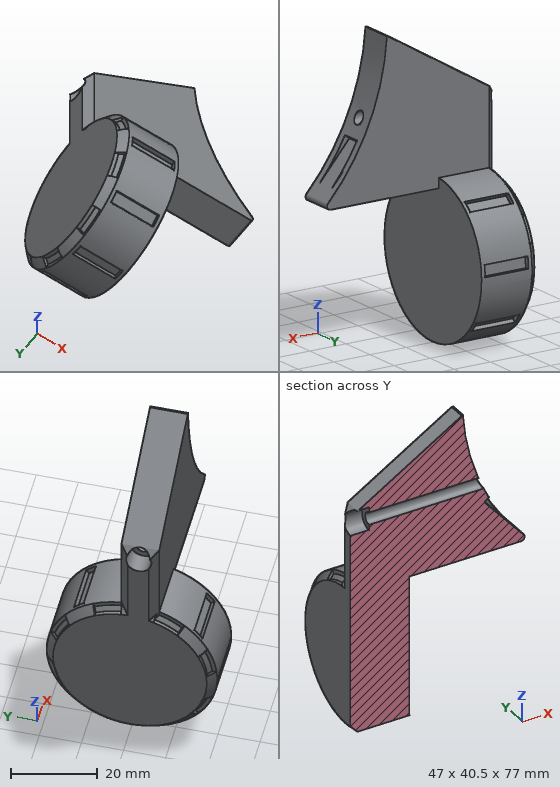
import cadquery as cq
import math

DISK_RADIUS = 20.25
DISK_THICKNESS = 16.0
CHAMFER = 2.0

RECESS_COUNT = 8
RECESS_PITCH = 360.0 / RECESS_COUNT
SLOT_LENGTH = 12.0
SLOT_WIDTH = 3.0
SLOT_DEPTH = 1.2
SLOT_PHASE = 5.5
NOTCH_SPAN = 20.4
NOTCH_DEPTH = 1.0
NOTCH_PHASE = SLOT_PHASE + RECESS_PITCH / 2

ARM_WIDTH = 9.0
ARM_CENTER_Y = -2.0
ARM_BOTTOM_Z = 17.55
ARM_SHOULDER_Z = 39.85
ARM_TOP_FLAT = 0.4
ARM_TOP_Z = 56.79
ARM_LENGTH = 47.0
ARM_TIP_FILLET = 1.0

SADDLE_RADIUS = 60.5
SADDLE_X = 90.78
SADDLE_Z = 60.7

HOLE_DIAMETER = 3.2
HEAD_DIAMETER = 6.0
HEAD_DEPTH = 5.0
HOLE_Z = 36.8

SEAT_X_MIN = 37.35
SEAT_X_MAX = 44.25
SEAT_WIDTH = 5.0
SEAT_TILT = 49.0


def saddle_z(x):
    """Height of the concave end at a given x."""
    return SADDLE_Z - math.sqrt(SADDLE_RADIUS**2 - (x - SADDLE_X) ** 2)


def saddle_x(z):
    """Position of the concave end at a given height."""
    return SADDLE_X - math.sqrt(SADDLE_RADIUS**2 - (z - SADDLE_Z) ** 2)


def turn_about_x(shape, angle):
    return shape.rotate((0, 0, 0), (1, 0, 0), angle)


def arm_plane(width):
    """XZ plane at the near side of a body of this width centred on the arm."""
    return cq.Workplane("XZ", origin=(0, ARM_CENTER_Y - width / 2, 0))


def make_disk():
    disk = cq.Workplane("YZ").circle(DISK_RADIUS).extrude(DISK_THICKNESS)
    return disk.faces("<X").chamfer(CHAMFER)


def make_arm():
    """Side outline behind the bevelled front, with a concave end and a rounded lower tip."""
    tip_x = saddle_x(ARM_BOTTOM_Z)
    top_x = saddle_x(ARM_TOP_Z)
    middle_z = (ARM_BOTTOM_Z + ARM_TOP_Z) / 2
    arm = (
        arm_plane(ARM_WIDTH)
        .moveTo(CHAMFER, ARM_BOTTOM_Z)
        .lineTo(tip_x, ARM_BOTTOM_Z)
        .threePointArc((saddle_x(middle_z), middle_z), (top_x, ARM_TOP_Z))
        .lineTo(top_x - ARM_TOP_FLAT, ARM_TOP_Z)
        .lineTo(CHAMFER, ARM_SHOULDER_Z)
        .close()
        .extrude(-ARM_WIDTH)
    )
    tip = cq.selectors.NearestToPointSelector((tip_x, ARM_CENTER_Y, ARM_BOTTOM_Z))
    return arm.edges(tip).fillet(ARM_TIP_FILLET)


def make_arm_front():
    """Front layer of the arm, bevelled at 45 degrees; its foot is buried in the housing."""
    return (
        cq.Workplane("YZ", origin=(CHAMFER, 0, 0))
        .center(ARM_CENTER_Y, ARM_SHOULDER_Z / 2)
        .rect(ARM_WIDTH, ARM_SHOULDER_Z)
        .extrude(-CHAMFER, taper=45)
    )


def make_notch():
    """Pocket in the bevel: cylindrical inner wall, bevelled floor, flat outer wall."""
    inner = DISK_RADIUS - CHAMFER
    outline = [
        (0, inner),
        (NOTCH_DEPTH, inner),
        (CHAMFER, DISK_RADIUS - NOTCH_DEPTH),
        (CHAMFER, DISK_RADIUS),
    ]
    notch = cq.Workplane("XY").polyline(outline).close()
    notch = notch.revolve(NOTCH_SPAN, (0, 0, 0), (1, 0, 0))
    return turn_about_x(notch, -NOTCH_SPAN / 2)


def make_slot():
    slot = cq.Workplane("XY").box(SLOT_LENGTH, 2 * SLOT_DEPTH, SLOT_WIDTH)
    return slot.translate(((CHAMFER + DISK_THICKNESS) / 2, DISK_RADIUS, 0))


def cut_recesses(disk):
    slot = make_slot()
    notch = make_notch()
    for i in range(RECESS_COUNT):
        turn = i * RECESS_PITCH
        disk = disk.cut(turn_about_x(slot, SLOT_PHASE + turn))
        disk = disk.cut(turn_about_x(notch, NOTCH_PHASE + turn))
    return disk


def cylinder_along_x(diameter, length):
    return cq.Workplane("YZ").center(ARM_CENTER_Y, HOLE_Z).circle(diameter / 2).extrude(length)


def make_seat():
    """Flat-floored seat: the floor runs out at its lower edge and ends in a square upper wall."""
    tilt = math.radians(SEAT_TILT)
    low_x, low_z = SEAT_X_MAX, saddle_z(SEAT_X_MAX)
    run_x, run_z = SEAT_X_MIN - low_x, saddle_z(SEAT_X_MIN) - low_z
    floor_length = run_z * math.sin(tilt) - run_x * math.cos(tilt)
    wall_height = run_x * math.sin(tilt) + run_z * math.cos(tilt)
    floor_end_x = low_x - floor_length * math.cos(tilt)
    floor_end_z = low_z + floor_length * math.sin(tilt)
    return (
        arm_plane(SEAT_WIDTH)
        .moveTo(low_x, low_z)
        .lineTo(floor_end_x, floor_end_z)
        .lineTo(SEAT_X_MIN, saddle_z(SEAT_X_MIN))
        .lineTo(low_x + wall_height * math.sin(tilt), low_z + wall_height * math.cos(tilt))
        .close()
        .extrude(-SEAT_WIDTH)
    )


result = (
    cut_recesses(make_disk())
    .union(make_arm())
    .union(make_arm_front())
    .cut(cylinder_along_x(HOLE_DIAMETER, ARM_LENGTH))
    .cut(cylinder_along_x(HEAD_DIAMETER, HEAD_DEPTH))
    .cut(make_seat())
)